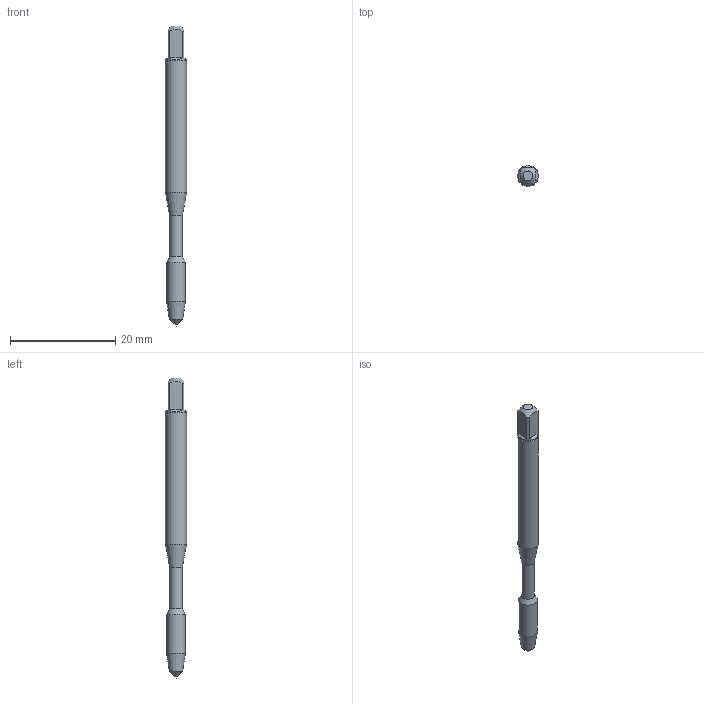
import cadquery as cq
import math

total_length = 57.05
lead_top = 4.72
thread_top = 12.15
head_chamfer_length = 1.0
neck_bottom = thread_top + head_chamfer_length
neck_top = 21.05
shank_bottom = 25.4
shank_top = 50.4
flat_bottom = 51.05

shank_diameter = 4.0
thread_diameter = 3.59
neck_diameter = 2.47
point_diameter = 2.58
point_angle = 90.0
point_height = point_diameter / 2 / math.tan(math.radians(point_angle / 2))

corner_diameter = 3.84
across_flats = 3.0
square_chamfer = 1.0
side_count = 4
shoulder_chamfer = (shank_diameter - corner_diameter) / 2


def revolve_profile(points):
    """Turn a closed (radius, height) outline about the Z axis."""
    return cq.Workplane("XZ").polyline(points).close().revolve(360, (0, 0, 0), (0, 1, 0))


def make_cutting_head():
    """Conical point, tapered lead, thread cylinder and its back chamfer."""
    return revolve_profile([
        (0, 0),
        (point_diameter / 2, point_height),
        (thread_diameter / 2, lead_top),
        (thread_diameter / 2, thread_top),
        (neck_diameter / 2, neck_bottom),
        (0, neck_bottom),
    ])


def make_flat_cutter():
    """Material removed beside one flat, with a 45 degree run-out at its lower end."""
    half_square = across_flats / 2
    clear_radius = shank_diameter
    run_out = clear_radius - half_square
    return (
        cq.Workplane("XZ")
        .polyline([
            (half_square, total_length),
            (half_square, flat_bottom),
            (clear_radius, flat_bottom - run_out),
            (clear_radius, total_length),
        ])
        .close()
        .extrude(shank_diameter / 2, both=True)
    )


def make_shank():
    """Neck, taper and plain shank ending in a chamfered driving square."""
    corner_radius = corner_diameter / 2
    shank_radius = shank_diameter / 2
    shank = revolve_profile([
        (0, neck_bottom),
        (neck_diameter / 2, neck_bottom),
        (neck_diameter / 2, neck_top),
        (shank_radius, shank_bottom),
        (shank_radius, shank_top),
        (corner_radius, shank_top + shoulder_chamfer),
        (corner_radius, total_length - square_chamfer),
        (corner_radius - square_chamfer, total_length),
        (0, total_length),
    ])
    flat_cutter = make_flat_cutter()
    for side in range(side_count):
        shank = shank.cut(flat_cutter.rotate((0, 0, 0), (0, 0, 1), side * 360 / side_count))
    return shank


cutting_head = make_cutting_head()
shank = make_shank()
result = cq.Compound.makeCompound([cutting_head.val(), shank.val()])